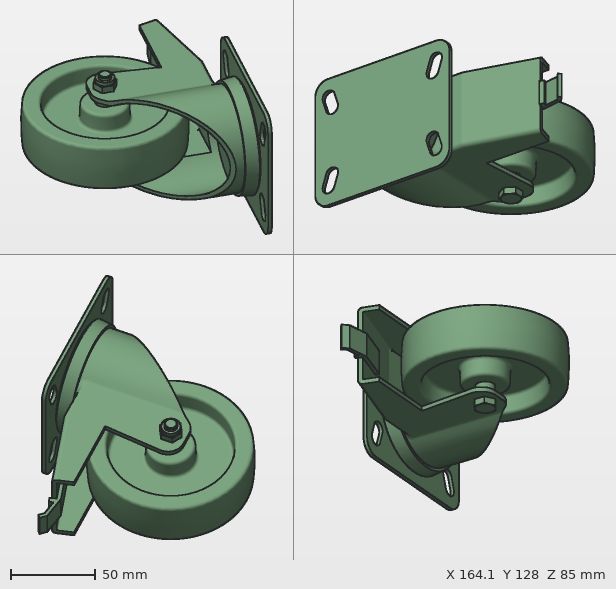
import math

import cadquery as cq


OVERALL_LENGTH = 164.05
TOLERANCE = 0.01

PLATE_LENGTH = 100.0
PLATE_WIDTH = 85.0
PLATE_THICKNESS = 2.5
PLATE_CORNER_RADIUS = 9.5
SLOT_WIDTH = 9.0
SLOT_OUTER_END = (40.0, 30.0)
SLOT_INNER_END = (37.5, 22.5)

HEAD_TOP_RADIUS = 36.0
HEAD_BOTTOM_RADIUS = 34.8
HEAD_TOP_Y = -3.4
HEAD_BOTTOM_Y = -11.9

AXLE_X = -37.0
AXLE_Y = -78.0

SHEET_THICKNESS = 3.0
SLEEVE_RADIUS = 33.0
SLEEVE_BORE_RADIUS = 30.5
SLEEVE_LOW_Y = -17.3
FORK_HALF_WIDTH = 25.5
FORK_INNER_HALF_WIDTH = FORK_HALF_WIDTH - SHEET_THICKNESS
TRAY_TOP_Y = -14.0
TRAY_EDGE_X = -45.1
LEG_BOTTOM_Y = -88.0
LEG_BOTTOM_LEFT_X = -52.2
LEG_BOTTOM_RIGHT_X = -28.0
LEG_TIP_RADIUS = 10.0
BEND_RADIUS = 3.0
SLEEVE_BLEND_RADIUS = 5.0

PEDAL_BEND = (-48.7, TRAY_TOP_Y)
PEDAL_LENGTH = 50.4
PEDAL_ANGLE = math.radians(15.0)
PEDAL_BOTTOM_Y = -40.0
PEDAL_INNER_BEND_RADIUS = 1.0

LEVER_WIDTH = 15.5
LEVER_THICKNESS = 2.5
LEVER_INSERT_LENGTH = 24.5
LEVER_TAB_RISE = 1.4
LEVER_TAB_THICKNESS = 3.0
LEVER_DROOP_ANGLE = math.radians(-9.0)
LEVER_TOE_ANGLE = math.radians(-47.0)
LEVER_REACH = 14.9
LEVER_TIP_X = PLATE_LENGTH / 2 - OVERALL_LENGTH

WHEEL_RADIUS = 50.0
WHEEL_WIDTH = 30.0
TREAD_CROWN = 0.8
RIM_RADIUS = 38.3
RIM_FOOT_RADIUS = 37.4
HUB_RADIUS = 14.7
HUB_FOOT_RADIUS = 15.2
WEB_THICKNESS = 6.0
WHEEL_FILLET = 2.0

SPACER_DIAMETER = 12.0
HEX_SIDES = 6
HEX_HALF_STEP = 180.0 / HEX_SIDES
HEX_ACROSS_FLATS = 12.5
HEX_HEIGHT = 4.4
HEX_CHAMFER = 0.4
COLLAR_DIAMETER = 11.63
COLLAR_HEIGHT = 2.5
BOLT_DIAMETER = 8.0
BOLT_END_HEIGHT = 2.5
BOLT_CHAMFER = 0.6


def plan(y):
    """Workplane at height y that extrudes towards -Y, with local x along X and y along Z."""
    return cq.Workplane("XZ", origin=(0, y, 0))


def prism(points, half_width):
    """Side profile in X and Y, extruded equally to both sides of the middle plane."""
    return cq.Workplane("XY").polyline(points).close().extrude(half_width, both=True)


def slanted(start, angle, along, up):
    """Point reached from start by going outward along a downward slope and then square to it."""
    x = start[0] - along * math.cos(angle) - up * math.sin(angle)
    y = start[1] - along * math.sin(angle) + up * math.cos(angle)
    return (x, y)


def make_plate():
    plate = plan(0).rect(PLATE_LENGTH, PLATE_WIDTH).extrude(PLATE_THICKNESS)
    plate = plate.edges("|Y").fillet(PLATE_CORNER_RADIUS)
    run = SLOT_OUTER_END[0] - SLOT_INNER_END[0]
    rise = SLOT_OUTER_END[1] - SLOT_INNER_END[1]
    slot_length = math.hypot(run, rise) + SLOT_WIDTH
    slot_angle = math.degrees(math.atan2(rise, run))
    middle_x = (SLOT_OUTER_END[0] + SLOT_INNER_END[0]) / 2
    middle_z = (SLOT_OUTER_END[1] + SLOT_INNER_END[1]) / 2
    for side_x in (-1, 1):
        for side_z in (-1, 1):
            slot = plan(0).center(side_x * middle_x, side_z * middle_z)
            slot = slot.slot2D(slot_length, SLOT_WIDTH, side_x * side_z * slot_angle)
            plate = plate.cut(slot.extrude(PLATE_THICKNESS))
    return plate


def make_head():
    neck = plan(0).circle(HEAD_BOTTOM_RADIUS).extrude(-HEAD_TOP_Y)
    profile = [
        (0, HEAD_TOP_Y),
        (HEAD_TOP_RADIUS, HEAD_TOP_Y),
        (HEAD_BOTTOM_RADIUS, HEAD_BOTTOM_Y),
        (0, HEAD_BOTTOM_Y),
    ]
    cone = cq.Workplane("XY").polyline(profile).close().revolve(360, (0, 0), (0, 1))
    return neck.union(cone)


def is_sleeve_junction(edge):
    """True for the edges where the bent tray and legs meet the outside of the sleeve."""
    on_sleeve = all(
        abs(math.hypot(point.x, point.z) - SLEEVE_RADIUS) < TOLERANCE
        for point in (edge.startPoint(), edge.endPoint(), edge.positionAt(0.5))
    )
    middle = edge.positionAt(0.5)
    below_head = LEG_BOTTOM_Y < middle.y < HEAD_BOTTOM_Y
    return on_sleeve and below_head and middle.x < -TOLERANCE


def make_fork():
    reach = SLEEVE_RADIUS - LEG_BOTTOM_LEFT_X
    low_y = LEG_BOTTOM_Y - SHEET_THICKNESS

    def block(half_width, top_y):
        middle_x = -reach / 2
        return plan(top_y).center(middle_x, 0).rect(reach, 2 * half_width).extrude(top_y - low_y)

    shell = block(FORK_HALF_WIDTH, TRAY_TOP_Y).edges("|X and >Y").fillet(BEND_RADIUS)
    sleeve = plan(HEAD_TOP_Y).circle(SLEEVE_RADIUS).extrude(HEAD_TOP_Y - low_y)
    shell = shell.union(sleeve).edges().filter(is_sleeve_junction).fillet(SLEEVE_BLEND_RADIUS)

    shell = shell.cut(block(FORK_INNER_HALF_WIDTH, TRAY_TOP_Y - SHEET_THICKNESS))
    bore = plan(HEAD_BOTTOM_Y).circle(SLEEVE_BORE_RADIUS).extrude(HEAD_BOTTOM_Y - low_y)
    shell = shell.cut(bore)

    side = prism(
        [
            (TRAY_EDGE_X, HEAD_TOP_Y),
            (TRAY_EDGE_X, TRAY_TOP_Y),
            (LEG_BOTTOM_LEFT_X, LEG_BOTTOM_Y),
            (LEG_BOTTOM_RIGHT_X, LEG_BOTTOM_Y),
            (SLEEVE_RADIUS, SLEEVE_LOW_Y),
            (SLEEVE_RADIUS, HEAD_TOP_Y),
        ],
        SLEEVE_RADIUS,
    )
    side = side.edges("|Z and <Y").fillet(LEG_TIP_RADIUS)
    return shell.intersect(side)


def leg_edge_x(y):
    """X of the slanted outer edge of the legs at height y."""
    share = (y - TRAY_TOP_Y) / (LEG_BOTTOM_Y - TRAY_TOP_Y)
    return TRAY_EDGE_X + share * (LEG_BOTTOM_LEFT_X - TRAY_EDGE_X)


def is_pedal_ridge(edge):
    """True for the level and sloping edges along the top of the channel."""
    along = edge.tangentAt(0)
    level = abs(along.y) < TOLERANCE and edge.Center().y > PEDAL_BOTTOM_Y + SHEET_THICKNESS
    sloping = abs(along.y * math.cos(PEDAL_ANGLE) - along.x * math.sin(PEDAL_ANGLE)) < TOLERANCE
    return level or sloping


def make_pedal():
    end_top = slanted(PEDAL_BEND, PEDAL_ANGLE, PEDAL_LENGTH, 0)
    end_drop = (end_top[1] - PEDAL_BOTTOM_Y) / math.cos(PEDAL_ANGLE)
    outer = prism(
        [
            (TRAY_EDGE_X, TRAY_TOP_Y),
            PEDAL_BEND,
            end_top,
            slanted(end_top, PEDAL_ANGLE, 0, -end_drop),
            (leg_edge_x(PEDAL_BOTTOM_Y), PEDAL_BOTTOM_Y),
        ],
        FORK_HALF_WIDTH,
    )
    outer = outer.faces(">Z or <Z").edges().filter(is_pedal_ridge).fillet(BEND_RADIUS)

    beyond = 2 * PEDAL_LENGTH
    inner_bend = (
        PEDAL_BEND[0] + SHEET_THICKNESS * math.tan(PEDAL_ANGLE / 2),
        TRAY_TOP_Y - SHEET_THICKNESS,
    )
    inner = prism(
        [
            (0, inner_bend[1]),
            inner_bend,
            slanted(inner_bend, PEDAL_ANGLE, beyond, 0),
            slanted(inner_bend, PEDAL_ANGLE, beyond, -beyond),
            (0, -beyond),
        ],
        FORK_INNER_HALF_WIDTH,
    )
    inner = inner.faces(">Z or <Z").edges().filter(is_pedal_ridge).fillet(PEDAL_INNER_BEND_RADIUS)
    return outer.cut(inner)


def make_lever():
    end_under = slanted(PEDAL_BEND, PEDAL_ANGLE, PEDAL_LENGTH, -SHEET_THICKNESS)
    rise = SHEET_THICKNESS + LEVER_TAB_RISE
    blade = prism(
        [
            slanted(end_under, PEDAL_ANGLE, -LEVER_INSERT_LENGTH, 0),
            end_under,
            slanted(end_under, PEDAL_ANGLE, 0, rise),
            slanted(end_under, PEDAL_ANGLE, LEVER_TAB_THICKNESS, rise),
            slanted(end_under, PEDAL_ANGLE, LEVER_TAB_THICKNESS, 0),
            slanted(end_under, PEDAL_ANGLE, 0, -LEVER_THICKNESS),
            slanted(end_under, PEDAL_ANGLE, -LEVER_INSERT_LENGTH, -LEVER_THICKNESS),
        ],
        LEVER_WIDTH / 2,
    )
    arm_start = slanted(end_under, PEDAL_ANGLE, 0, -LEVER_THICKNESS)
    half_turn = (LEVER_DROOP_ANGLE - LEVER_TOE_ANGLE) / 2
    knee = slanted(arm_start, LEVER_DROOP_ANGLE, LEVER_REACH, 0)
    knee_top = slanted(knee, LEVER_DROOP_ANGLE, -LEVER_THICKNESS * math.tan(half_turn), LEVER_THICKNESS)
    toe_length = (knee[0] - LEVER_TIP_X) / math.cos(LEVER_TOE_ANGLE)
    toe = slanted(knee, LEVER_TOE_ANGLE, toe_length, 0)
    arm = prism(
        [
            arm_start,
            knee,
            toe,
            slanted(toe, LEVER_TOE_ANGLE, 0, LEVER_THICKNESS),
            knee_top,
            slanted(arm_start, LEVER_DROOP_ANGLE, 0, LEVER_THICKNESS),
        ],
        LEVER_WIDTH / 2,
    )
    return blade.union(arm)


def at_axle(z):
    """Workplane square to the axle at the given Z."""
    return cq.Workplane("XY", origin=(AXLE_X, AXLE_Y, z))


def make_wheel():
    half = WHEEL_WIDTH / 2
    web = WEB_THICKNESS / 2
    edge_radius = WHEEL_RADIUS - TREAD_CROWN
    wheel = cq.Workplane("XZ").moveTo(0, -half)
    wheel = wheel.lineTo(edge_radius, -half).threePointArc((WHEEL_RADIUS, 0), (edge_radius, half))
    wheel = wheel.lineTo(0, half).close().revolve(360, (0, 0), (0, 1))
    recess_profile = [
        (HUB_FOOT_RADIUS, web),
        (RIM_FOOT_RADIUS, web),
        (RIM_RADIUS, half),
        (HUB_RADIUS, half),
    ]
    recess = cq.Workplane("XZ").polyline(recess_profile).close().revolve(360, (0, 0), (0, 1))
    wheel = wheel.cut(recess).cut(recess.mirror("XY"))
    wheel = wheel.edges("%CIRCLE").fillet(WHEEL_FILLET)
    return wheel.translate((AXLE_X, AXLE_Y, 0))


def make_axle():
    corner_diameter = HEX_ACROSS_FLATS / math.cos(math.radians(HEX_HALF_STEP))
    spacer = at_axle(0).circle(SPACER_DIAMETER / 2).extrude(FORK_HALF_WIDTH, both=True)

    def hexagon():
        base = at_axle(FORK_HALF_WIDTH).polygon(HEX_SIDES, corner_diameter).extrude(HEX_HEIGHT)
        base = base.rotate((AXLE_X, AXLE_Y, 0), (AXLE_X, AXLE_Y, 1), HEX_HALF_STEP)
        blank = at_axle(FORK_HALF_WIDTH).circle(corner_diameter / 2).extrude(HEX_HEIGHT)
        blank = blank.faces(">Z").chamfer(HEX_CHAMFER, (corner_diameter - HEX_ACROSS_FLATS) / 2)
        return base.intersect(blank)

    nut = hexagon()
    bolt_head = hexagon().mirror("XY")
    nut_top = FORK_HALF_WIDTH + HEX_HEIGHT
    collar = at_axle(nut_top).circle(COLLAR_DIAMETER / 2).extrude(COLLAR_HEIGHT)
    bolt_end = at_axle(nut_top).circle(BOLT_DIAMETER / 2).extrude(COLLAR_HEIGHT + BOLT_END_HEIGHT)
    bolt_end = bolt_end.faces(">Z").chamfer(BOLT_CHAMFER)
    return spacer.union(nut).union(bolt_head).union(collar).union(bolt_end)


result = make_plate().union(make_head()).union(make_fork())
result = result.union(make_wheel()).union(make_axle())
result = result.union(make_pedal(), clean=False).union(make_lever(), clean=False)